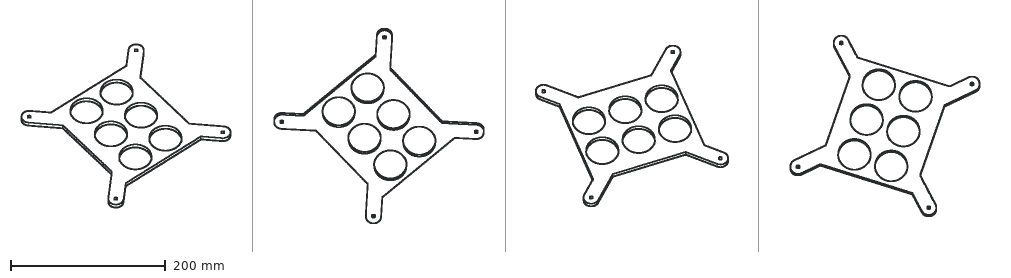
import cadquery as cq

overall_size = 198.0
thickness = 6.3
body_length_x = 153.4
body_length_y = 128.6

arm_width = 20.0
screw_hole_diameter = 4.0
screw_spacing = overall_size - arm_width

opening_diameter = 42.0
opening_pitch = 50.0
opening_columns = 3
opening_rows = 2


def diagonal_arm(angle):
    """Full-length diagonal bar whose round ends are centred on two screw holes."""
    bar_length = screw_spacing * 2**0.5 + arm_width
    return (
        cq.Workplane("XY")
        .slot2D(bar_length, arm_width, angle)
        .extrude(thickness)
    )


body = cq.Workplane("XY").rect(body_length_x, body_length_y).extrude(thickness)
for arm_angle in (45, -45):
    body = body.union(diagonal_arm(arm_angle))

openings = (
    cq.Workplane("XY")
    .rarray(opening_pitch, opening_pitch, opening_columns, opening_rows)
    .circle(opening_diameter / 2)
    .extrude(thickness)
)

screw_holes = (
    cq.Workplane("XY")
    .rect(screw_spacing, screw_spacing, forConstruction=True)
    .vertices()
    .circle(screw_hole_diameter / 2)
    .extrude(thickness)
)

result = body.cut(openings).cut(screw_holes)